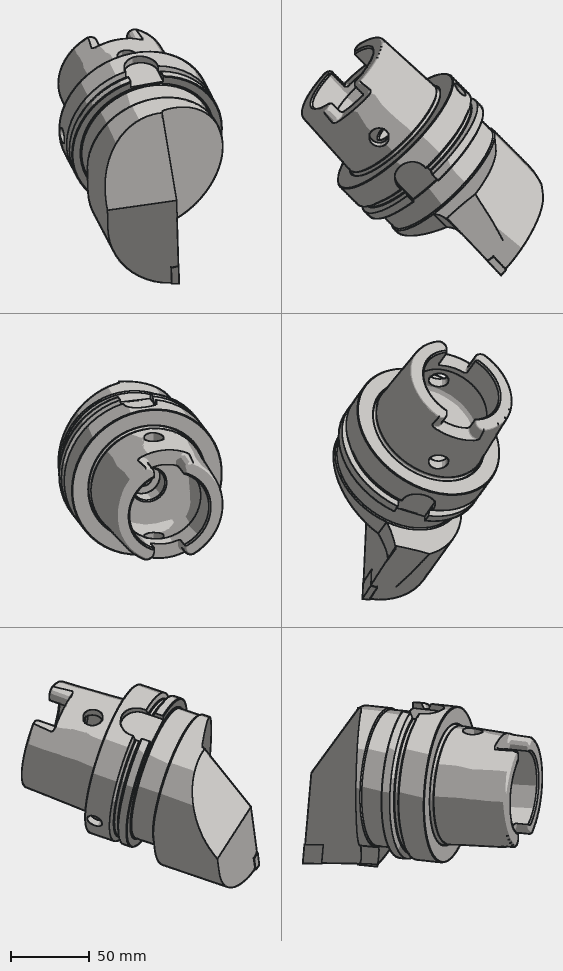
import cadquery as cq
import math


SHANK_LENGTH = 50.0
SHANK_BASE_RADIUS = 38.0
SHANK_TAPER = 1 / 20
EDGE_ROUND = 1.8
UNDERCUT_START = 47.7
UNDERCUT_RADIUS = 37.3
UNDERCUT_CHAMFER = 0.7
UNDERCUT_FILLET = 1.2
FACE_RECESS_DEPTH = 0.6
FACE_RECESS_RADIUS = 39.3

FLANGE_DIAMETER = 100.0
FLANGE_RADIUS = FLANGE_DIAMETER / 2
FLANGE_END = 79.1
FLANGE_CHAMFER = 0.5
GROOVE_RADIUS = 46.2
GROOVE_FILLET = 0.6
GROOVE_OUTER_START, GROOVE_OUTER_END = 67.2, 73.3
GROOVE_FLOOR_START, GROOVE_FLOOR_END = 68.7, 71.7
NECK_RADIUS = 43.8
NECK_END = 94.5
NECK_FILLET = 0.7

SLOT_HALF_WIDTH = 10.8
SLOT_START = 54.9
SLOT_FLOOR_HEIGHT = 44.8
CHIP_HOLE_X = 57.0
CHIP_HOLE_RADIUS = 5.1
CHIP_HOLE_DEPTH = 5.0
ACCESS_HOLE_X = 35.0
ACCESS_HOLE_RADIUS = 6.3

KEYWAY_HALF_WIDTH = 9.9
KEYWAY_SHELF_HEIGHT = 32.1
KEYWAY_FLARE_RADIUS = 5.0
UPPER_KEYWAY_DEPTH = 14.8
LOWER_KEYWAY_DEPTH = 10.3

BORE_RADIUS = 26.4
MOUTH_CHAMFER = 1.0
LIP_LENGTH = 19.0
CAVITY_RADIUS = 31.5
CAVITY_FLOOR = 46.0
CAVITY_FILLET = 6.6
THREAD_RADIUS = 11.0
THREAD_CHAMFER = 0.9
THREAD_DEPTH = 12.0
PILOT_RADIUS = 5.8
PILOT_DEPTH = 9.0
DRILL_POINT_ANGLE = 118

OVERALL_HEIGHT = 113.0
HEAD_RADIUS = 44.7
HEAD_DROP = 17.8
BACK_ANGLE = 15
LEAD_ANGLE = 5
CLEARANCE_ANGLE = 6
TIP_X = 149.9
TIP_Z = FLANGE_RADIUS - OVERALL_HEIGHT
INSERT_OVERHANG = 0.52
END_FACE_TOP_Z = -2.0
SLOPE_START_X = 112.0
RELIEF_X = 110.0
RELIEF_FILLET = 3.3
WEB_BOTTOM_Z = -60.0
WEB_MIDDLE = (3.5, -51.5)
WEB_TOP_Y = 8.4

INSERT_EDGE = 12.9
INSERT_THICKNESS = 4.8

RADIUS_TOLERANCE = 0.01
REACH = 90.0


def revolve_about_x(sketch):
    return sketch.close().revolve(360, (0, 0, 0), (1, 0, 0))


def is_ring(edge, radius):
    return math.isclose(edge.radius(), radius, abs_tol=RADIUS_TOLERANCE)


def shank_flange_and_neck():
    chamfer_size = HEAD_RADIUS - NECK_RADIUS
    mouth_radius = SHANK_BASE_RADIUS - SHANK_TAPER * UNDERCUT_START
    recess_x = SHANK_LENGTH + FACE_RECESS_DEPTH
    outline = [
        (0, 0),
        (0, mouth_radius),
        (UNDERCUT_START, SHANK_BASE_RADIUS),
        (UNDERCUT_START + UNDERCUT_CHAMFER, UNDERCUT_RADIUS),
        (recess_x, UNDERCUT_RADIUS),
        (recess_x, FACE_RECESS_RADIUS - FACE_RECESS_DEPTH),
        (SHANK_LENGTH, FACE_RECESS_RADIUS),
        (SHANK_LENGTH, FLANGE_RADIUS - FLANGE_CHAMFER),
        (SHANK_LENGTH + FLANGE_CHAMFER, FLANGE_RADIUS),
        (GROOVE_OUTER_START, FLANGE_RADIUS),
        (GROOVE_FLOOR_START, GROOVE_RADIUS),
        (GROOVE_FLOOR_END, GROOVE_RADIUS),
        (GROOVE_OUTER_END, FLANGE_RADIUS),
        (FLANGE_END - FLANGE_CHAMFER, FLANGE_RADIUS),
        (FLANGE_END, FLANGE_RADIUS - FLANGE_CHAMFER),
        (FLANGE_END, NECK_RADIUS + NECK_FILLET),
        (FLANGE_END + NECK_FILLET, NECK_RADIUS),
        (NECK_END, NECK_RADIUS),
        (NECK_END + chamfer_size, HEAD_RADIUS),
        (NECK_END + chamfer_size, 0),
    ]
    blank = revolve_about_x(cq.Workplane("XY").polyline(outline))
    groove_corners = blank.edges("%CIRCLE").filter(lambda edge: is_ring(edge, GROOVE_RADIUS))
    blank = groove_corners.fillet(GROOVE_FILLET)
    undercut_corner = blank.edges("%CIRCLE").filter(lambda edge: is_ring(edge, UNDERCUT_RADIUS))
    return undercut_corner.edges(">X").fillet(UNDERCUT_FILLET)


def keyway_cutter(depth, side):
    """Slot through the shank wall that flares to full width; side is +1 for up, -1 for down."""
    flare_start = KEYWAY_SHELF_HEIGHT - KEYWAY_FLARE_RADIUS
    flare_end = KEYWAY_HALF_WIDTH + KEYWAY_FLARE_RADIUS
    bend = KEYWAY_FLARE_RADIUS * (1 - math.sqrt(0.5))
    bend_y = KEYWAY_HALF_WIDTH + bend
    bend_z = KEYWAY_SHELF_HEIGHT - bend
    cutter = (
        cq.Workplane("YZ")
        .moveTo(-KEYWAY_HALF_WIDTH, 0)
        .lineTo(-KEYWAY_HALF_WIDTH, side * flare_start)
        .threePointArc((-bend_y, side * bend_z), (-flare_end, side * KEYWAY_SHELF_HEIGHT))
        .lineTo(-FLANGE_RADIUS, side * KEYWAY_SHELF_HEIGHT)
        .lineTo(-FLANGE_RADIUS, side * FLANGE_RADIUS)
        .lineTo(FLANGE_RADIUS, side * FLANGE_RADIUS)
        .lineTo(FLANGE_RADIUS, side * KEYWAY_SHELF_HEIGHT)
        .lineTo(flare_end, side * KEYWAY_SHELF_HEIGHT)
        .threePointArc((bend_y, side * bend_z), (KEYWAY_HALF_WIDTH, side * flare_start))
        .lineTo(KEYWAY_HALF_WIDTH, 0)
        .close()
        .extrude(depth)
    )
    return cutter.faces(">X").edges().fillet(EDGE_ROUND)


def bore_cutter():
    thread_floor = CAVITY_FLOOR + THREAD_DEPTH
    pilot_floor = thread_floor + PILOT_DEPTH
    drill_point = PILOT_RADIUS / math.tan(math.radians(DRILL_POINT_ANGLE / 2))
    fillet_bend = CAVITY_FILLET * (1 - math.sqrt(0.5))
    sketch = (
        cq.Workplane("XY")
        .moveTo(0, 0)
        .lineTo(0, BORE_RADIUS + MOUTH_CHAMFER)
        .lineTo(MOUTH_CHAMFER, BORE_RADIUS)
        .lineTo(LIP_LENGTH, BORE_RADIUS)
        .lineTo(LIP_LENGTH, CAVITY_RADIUS)
        .lineTo(CAVITY_FLOOR - CAVITY_FILLET, CAVITY_RADIUS)
        .threePointArc(
            (CAVITY_FLOOR - fillet_bend, CAVITY_RADIUS - fillet_bend),
            (CAVITY_FLOOR, CAVITY_RADIUS - CAVITY_FILLET),
        )
        .lineTo(CAVITY_FLOOR, THREAD_RADIUS + THREAD_CHAMFER)
        .lineTo(CAVITY_FLOOR + THREAD_CHAMFER, THREAD_RADIUS)
        .lineTo(thread_floor, THREAD_RADIUS)
        .lineTo(thread_floor, PILOT_RADIUS)
        .lineTo(pilot_floor, PILOT_RADIUS)
        .lineTo(pilot_floor + drill_point, 0)
    )
    return revolve_about_x(sketch)


def flange_slot_cutter(side):
    """Round-ended slot in the flange, open toward the head; side is +1 for up, -1 for down."""
    centre_x = SLOT_START + SLOT_HALF_WIDTH
    return (
        cq.Workplane("XY", origin=(0, 0, side * SLOT_FLOOR_HEIGHT))
        .moveTo(FLANGE_END, SLOT_HALF_WIDTH)
        .lineTo(centre_x, SLOT_HALF_WIDTH)
        .threePointArc((SLOT_START, 0), (centre_x, -SLOT_HALF_WIDTH))
        .lineTo(FLANGE_END, -SLOT_HALF_WIDTH)
        .close()
        .extrude(side * FLANGE_RADIUS)
    )


def chip_hole_cutter():
    return (
        cq.Workplane("XZ", origin=(CHIP_HOLE_X, CHIP_HOLE_DEPTH - FLANGE_RADIUS, 0))
        .circle(CHIP_HOLE_RADIUS)
        .extrude(CHIP_HOLE_DEPTH)
    )


def access_hole_cutter():
    return (
        cq.Workplane("XY", origin=(ACCESS_HOLE_X, 0, 0))
        .circle(ACCESS_HOLE_RADIUS)
        .extrude(FLANGE_RADIUS, both=True)
    )


def head_bar():
    """Cross-section of the head, run from the neck to the tip."""
    diagonal = HEAD_RADIUS * math.sqrt(0.5)
    web_top_z = -math.sqrt(HEAD_RADIUS**2 - WEB_TOP_Y**2)
    return (
        cq.Workplane("YZ", origin=(NECK_END, 0, 0))
        .moveTo(0, HEAD_RADIUS)
        .threePointArc((-diagonal, diagonal), (-HEAD_RADIUS, 0))
        .lineTo(-HEAD_RADIUS, -HEAD_DROP)
        .threePointArc((-diagonal, -HEAD_DROP - diagonal), (0, -HEAD_DROP - HEAD_RADIUS))
        .lineTo(0, WEB_BOTTOM_Z)
        .threePointArc(WEB_MIDDLE, (WEB_TOP_Y, web_top_z))
        .threePointArc((HEAD_RADIUS, 0), (0, HEAD_RADIUS))
        .close()
        .extrude(TIP_X - NECK_END)
    )


def cutting_side_envelope():
    """Solid on the -Y side bounded by the sloping, end and bottom faces of the head."""
    lead = math.tan(math.radians(LEAD_ANGLE))
    corner_x = TIP_X - INSERT_OVERHANG
    corner_z = TIP_Z + INSERT_OVERHANG
    end_top_x = corner_x - lead * (END_FACE_TOP_Z - corner_z)
    slope = (end_top_x - SLOPE_START_X) / (HEAD_RADIUS - END_FACE_TOP_Z)
    outline = [
        (0, corner_z + lead * corner_x),
        (corner_x, corner_z),
        (end_top_x, END_FACE_TOP_Z),
        (SLOPE_START_X - slope * (REACH - HEAD_RADIUS), REACH),
        (0, REACH),
    ]
    return cq.Workplane("XZ").polyline(outline).close().extrude(REACH / 2, taper=CLEARANCE_ANGLE)


def relieved_side_envelope():
    """Solid on the +Y side bounded by a sloping face that runs into the plane y = 0."""
    rake = math.tan(math.radians(BACK_ANGLE))
    outline = [
        (0, -REACH),
        (0, REACH),
        (RELIEF_X - rake * REACH, REACH),
        (RELIEF_X, 0),
        (TIP_X, 0),
        (TIP_X, -REACH),
    ]
    block = (
        cq.Workplane("XY", origin=(0, 0, -REACH))
        .polyline(outline)
        .close()
        .extrude(2 * REACH)
        .edges(cq.selectors.NearestToPointSelector((RELIEF_X, 0, 0)))
        .fillet(RELIEF_FILLET)
    )
    positive_y_side = cq.Workplane("XY").box(TIP_X, REACH, 2 * REACH, centered=(False, False, True))
    return block.intersect(positive_y_side)


def head_back_cutter():
    """Ring that leaves a conical back face on the part of the head outside the neck."""
    start_x = NECK_END + HEAD_RADIUS - NECK_RADIUS
    rake = math.tan(math.radians(BACK_ANGLE))
    end_x = start_x + rake * (REACH - HEAD_RADIUS)
    outline = [
        (0, NECK_RADIUS),
        (NECK_END, NECK_RADIUS),
        (start_x, HEAD_RADIUS),
        (end_x, REACH),
        (0, REACH),
    ]
    return revolve_about_x(cq.Workplane("XY").polyline(outline))


def make_head():
    """Head bar trimmed by the envelopes on both sides of y = 0 and by the conical back face."""
    envelope = cutting_side_envelope().union(relieved_side_envelope())
    return head_bar().intersect(envelope).cut(head_back_cutter())


def make_insert():
    """Rhombic cutting insert with its top face in the plane y = 0."""
    along = INSERT_EDGE * math.cos(math.radians(LEAD_ANGLE))
    across = INSERT_EDGE * math.sin(math.radians(LEAD_ANGLE))
    outline = [
        (TIP_X, TIP_Z),
        (TIP_X - across, TIP_Z + along),
        (TIP_X - across - along, TIP_Z + along + across),
        (TIP_X - along, TIP_Z + across),
    ]
    return cq.Workplane("XZ").polyline(outline).close().extrude(INSERT_THICKNESS, taper=CLEARANCE_ANGLE)


def make_holder(insert):
    """Shank, flange, neck and head as one solid."""
    holder = shank_flange_and_neck().cut(keyway_cutter(UPPER_KEYWAY_DEPTH, 1))
    holder = holder.cut(keyway_cutter(LOWER_KEYWAY_DEPTH, -1))
    holder = holder.faces("<X").edges().fillet(EDGE_ROUND)
    holder = holder.cut(bore_cutter())
    for side in (1, -1):
        holder = holder.cut(flange_slot_cutter(side))
    holder = holder.cut(chip_hole_cutter()).cut(access_hole_cutter())
    return holder.union(make_head()).cut(insert)


insert = make_insert()
holder = make_holder(insert)

result = cq.Compound.makeCompound([holder.val(), insert.val()])